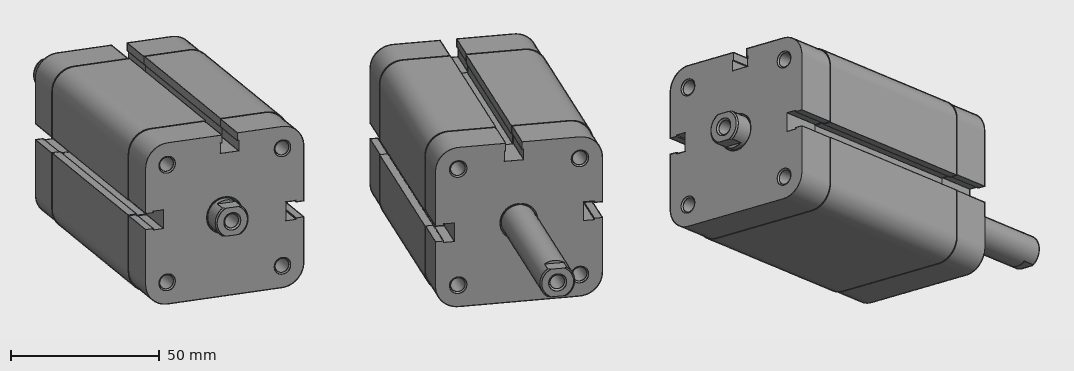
import cadquery as cq
import math

housing_length = 96.0
cap_length = 14.75
tube_side = 58.0
cap_side = 57.6
corner_radius = 8.0
tube_length = housing_length - 2 * cap_length

bolt_pitch = 42.0
bolt_hole_diameter = 5.0
bolt_countersink_diameter = 6.0
countersink_half_angle = 45
bolt_countersink_depth = (bolt_countersink_diameter - bolt_hole_diameter) / 2

slot_depth = 6.7
slot_neck_depth = 3.0
slot_undercut = 0.5
slot_high_edge = 4.6
tube_slot_neck_width = 5.4
cap_slot_neck_width = 5.7
slot_face_angles = (-90, 0, 90)

rod_diameter = 12.0
rod_front_reach = 56.5
rod_rear_reach = 6.5
rod_length = rod_front_reach + housing_length + rod_rear_reach
rod_chamfer = 0.5
flat_length = 5.0
across_flats = 10.0
thread_diameter = 5.0
thread_depth = 12.0
thread_countersink_diameter = 6.2
drill_tip_angle = 118.0

mouth_diameter = 13.0
mouth_depth = 0.5


def slot_cutter(length, neck_width):
    """T-slot in the +Z face, running along X."""
    top = tube_side / 2
    shoulder = top - slot_neck_depth
    floor = top - slot_depth
    high = slot_high_edge
    low = high - neck_width
    return (
        cq.Workplane("YZ")
        .moveTo(high, top)
        .lineTo(high, shoulder)
        .lineTo(high + slot_undercut, shoulder)
        .lineTo(high + slot_undercut, floor)
        .lineTo(low - slot_undercut, floor)
        .lineTo(low - slot_undercut, shoulder)
        .lineTo(low, shoulder)
        .lineTo(low, top)
        .close()
        .extrude(length)
    )


def housing_section(side, length, neck_width):
    """Rounded square block along X from X = 0, with bolt holes, rod bore and three T-slots."""
    block = cq.Workplane("YZ").rect(side, side).extrude(length).edges("|X").fillet(corner_radius)
    bolt_holes = (
        cq.Workplane("YZ")
        .rect(bolt_pitch, bolt_pitch, forConstruction=True)
        .vertices()
        .circle(bolt_hole_diameter / 2)
        .extrude(length)
    )
    rod_bore = cq.Workplane("YZ").circle(rod_diameter / 2).extrude(length)
    block = block.cut(bolt_holes).cut(rod_bore)
    slot = slot_cutter(length, neck_width)
    for angle in slot_face_angles:
        block = block.cut(slot.rotate((0, 0, 0), (1, 0, 0), angle))
    return block


def make_tube():
    tube = housing_section(tube_side, tube_length, tube_slot_neck_width)
    return tube.translate((cap_length, 0, 0))


def make_front_cap():
    cap = housing_section(cap_side, cap_length, cap_slot_neck_width)
    mouth = cq.Workplane("YZ").circle(mouth_diameter / 2).extrude(mouth_depth)
    countersinks = (
        cq.Workplane("YZ")
        .rect(bolt_pitch, bolt_pitch, forConstruction=True)
        .vertices()
        .circle(bolt_countersink_diameter / 2)
        .extrude(bolt_countersink_depth, taper=countersink_half_angle)
    )
    return cap.cut(mouth).cut(countersinks)


def make_rear_cap(front_cap):
    return front_cap.mirror("YZ", (housing_length / 2, 0, 0))


def thread_hole_cutter():
    """Countersunk blind hole with a drill tip, opening at X = 0 and running into +X."""
    radius = thread_diameter / 2
    mouth_radius = thread_countersink_diameter / 2
    tip_length = radius / math.tan(math.radians(drill_tip_angle / 2))
    return (
        cq.Workplane("XY")
        .lineTo(0, mouth_radius)
        .lineTo(mouth_radius - radius, radius)
        .lineTo(thread_depth, radius)
        .lineTo(thread_depth + tip_length, 0)
        .close()
        .revolve(360, (0, 0, 0), (1, 0, 0))
    )


def rod_end_cutter():
    """Everything removed at a rod end that lies at X = 0: the two wrench flats and the threaded hole."""
    flats = (
        cq.Workplane("XY")
        .box(flat_length, rod_diameter, rod_diameter, centered=(False, True, True))
        .cut(cq.Workplane("XY").box(flat_length, rod_diameter, across_flats, centered=(False, True, True)))
    )
    return flats.union(thread_hole_cutter())


def make_rod():
    rod = cq.Workplane("YZ").circle(rod_diameter / 2).extrude(rod_length).faces("<X or >X").chamfer(rod_chamfer)
    front_cut = rod_end_cutter()
    rear_cut = front_cut.mirror("YZ", (rod_length / 2, 0, 0))
    return rod.cut(front_cut).cut(rear_cut).translate((-rod_front_reach, 0, 0))


tube = make_tube()
front_cap = make_front_cap()
rear_cap = make_rear_cap(front_cap)
rod = make_rod()

result = cq.Compound.makeCompound([tube.val(), front_cap.val(), rear_cap.val(), rod.val()])